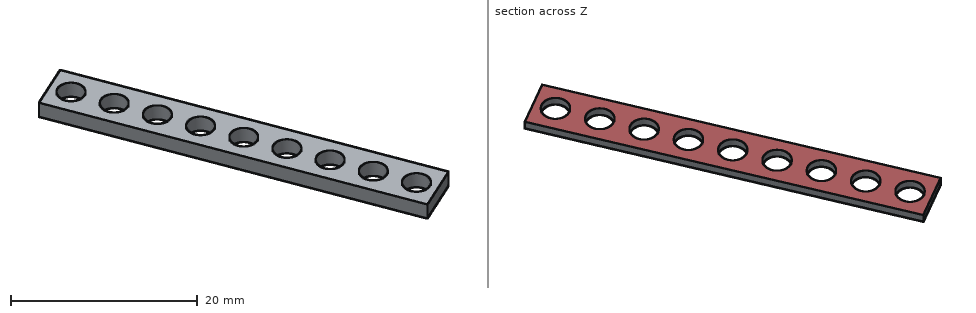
import cadquery as cq

length = 45.0
width = 6.0
thickness = 2.0

hole_count = 9
hole_diameter = 3.1
hole_pitch = length / hole_count

bar = cq.Workplane("XY").box(length, width, thickness)

result = (
    bar.faces(">Z")
    .workplane()
    .rarray(hole_pitch, width, hole_count, 1)
    .hole(hole_diameter)
)